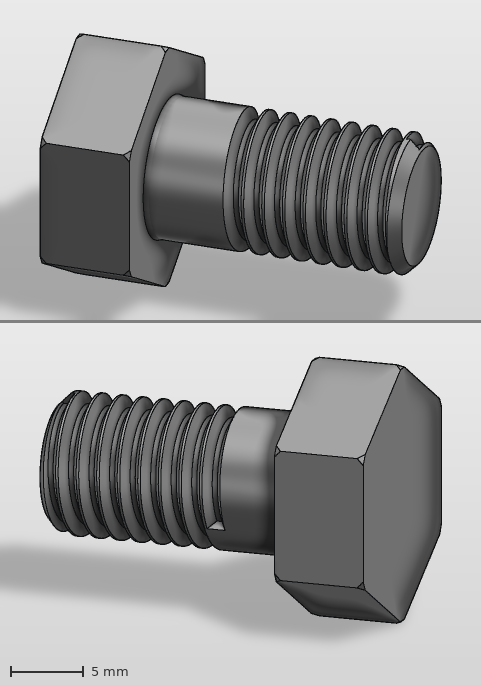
import cadquery as cq
import math

total_length = 25.0
head_width = 16.0
head_length = 6.5
head_corner_cut = 0.22
head_chamfer_length = 0.45

shank_radius = 5.0
neck_length = 0.4
neck_flare = 0.1

pitch = 1.5
flank_angle = 30.0
root_width = pitch / 4
thread_depth = (pitch * 7 / 8 - root_width) / 2 / math.tan(math.radians(flank_angle))
root_radius = shank_radius - thread_depth
thread_end = 24.58
thread_turns = 8 + 1 / 3
cutter_clearance = 0.08

head_corner_radius = head_width / math.sqrt(3)


def revolve_about_x(outline):
    """Turn a closed XY outline around the bolt axis."""
    return outline.close().revolve(360, (0, 0, 0), (1, 0, 0))


def make_head():
    """Hexagonal prism with two flats facing +Y and -Y and conically chamfered corners."""
    prism = (
        cq.Workplane("YZ")
        .polygon(6, 2 * head_corner_radius)
        .extrude(head_length)
        .rotate((0, 0, 0), (1, 0, 0), 90)
    )
    face_radius = head_corner_radius - head_corner_cut
    chamfer_envelope = revolve_about_x(
        cq.Workplane("XY")
        .moveTo(0, 0)
        .lineTo(0, face_radius)
        .lineTo(head_chamfer_length, head_corner_radius)
        .lineTo(head_length - head_chamfer_length, head_corner_radius)
        .lineTo(head_length, face_radius)
        .lineTo(head_length, 0)
    )
    return prism.intersect(chamfer_envelope)


def make_shank():
    """Cylinder with a flared neck and a 45 degree tip chamfer down to the thread root."""
    return revolve_about_x(
        cq.Workplane("XY")
        .moveTo(0, 0)
        .lineTo(0, shank_radius)
        .lineTo(head_length, shank_radius + neck_flare)
        .lineTo(head_length + neck_length, shank_radius)
        .lineTo(total_length - thread_depth, shank_radius)
        .lineTo(total_length, root_radius)
        .lineTo(total_length, 0)
    )


def make_thread_cutter():
    """Right-handed helical groove, ending square to its path on the +Z side."""
    groove_length = thread_turns * pitch
    outer_radius = shank_radius + cutter_clearance
    flank_run = (outer_radius - root_radius) * math.tan(math.radians(flank_angle))
    half_root = root_width / 2
    half_mouth = half_root + flank_run
    helix = cq.Wire.makeHelix(pitch, groove_length, root_radius)
    groove = (
        cq.Workplane("XZ")
        .moveTo(root_radius, -half_root)
        .lineTo(outer_radius, -half_mouth)
        .lineTo(outer_radius, half_mouth)
        .lineTo(root_radius, half_root)
        .close()
        .sweep(cq.Workplane(helix), isFrenet=True)
    )
    end_spin = 180 - 360 * thread_turns
    return (
        groove.rotate((0, 0, 0), (0, 1, 0), 90)
        .rotate((0, 0, 0), (1, 0, 0), end_spin)
        .translate((thread_end - groove_length, 0, 0))
    )


result = make_head().union(make_shank()).cut(make_thread_cutter())